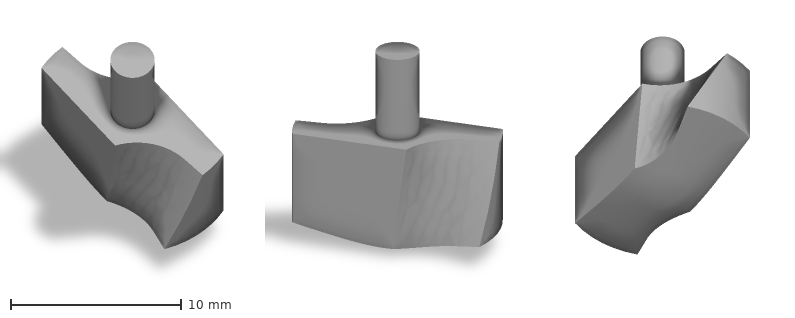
import cadquery as cq
import math

cut_diameter = 12.38
blade_thickness = 4.67
total_height = 12.2
blade_top = 7.02
shank_diameter = 2.6
point_angle = 12.0

flute_radius = 3.83
face_slope = 5.1
face_start_x = 4.65
face_start_y = 0.3
flute_twist = 29.6

cut_radius = cut_diameter / 2
flute_reach = 1.4 * cut_radius
rim_height = cut_radius * math.tan(math.radians(point_angle))


def make_blank():
    """Flat-sided blade with cylindrical ends and a conical point."""
    turned = (
        cq.Workplane("XZ")
        .polyline([(0, 0), (cut_radius, rim_height), (cut_radius, blade_top), (0, blade_top)])
        .close()
        .revolve(360, (0, 0, 0), (0, 1, 0))
    )
    slab = cq.Workplane("XY").box(
        cut_diameter + blade_thickness, blade_thickness, blade_top, centered=(True, True, False)
    )
    return turned.intersect(slab)


def make_flute():
    """Twisted cutter: a straight cutting face running tangentially into a round gullet."""
    slope = math.radians(face_slope)
    center_x = face_start_x + flute_radius * math.sin(slope)
    center_y = face_start_y - flute_radius * math.cos(slope)
    mid_angle = (math.pi + math.pi / 2 + slope) / 2
    arc_middle = (
        center_x + flute_radius * math.cos(mid_angle),
        center_y + flute_radius * math.sin(mid_angle),
    )
    gullet_x = center_x - flute_radius
    face_end_y = face_start_y + (flute_reach - face_start_x) * math.tan(slope)
    return (
        cq.Workplane("XY")
        .moveTo(flute_reach, face_end_y)
        .lineTo(face_start_x, face_start_y)
        .threePointArc(arc_middle, (gullet_x, center_y))
        .lineTo(gullet_x, -flute_reach)
        .lineTo(flute_reach, -flute_reach)
        .close()
        .twistExtrude(blade_top, flute_twist)
        .rotate((0, 0, 0), (0, 0, 1), -flute_twist)
    )


def make_shank():
    return (
        cq.Workplane("XY")
        .workplane(offset=blade_top)
        .circle(shank_diameter / 2)
        .extrude(total_height - blade_top)
    )


blade = make_blank()
flute = make_flute()
for turn in (0, 180):
    blade = blade.cut(flute.rotate((0, 0, 0), (0, 0, 1), turn))

result = blade.union(make_shank())